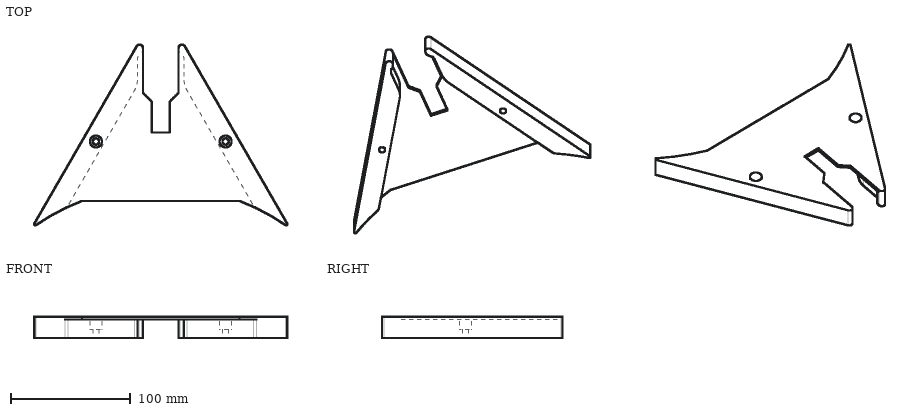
import cadquery as cq
import math

span = 211.5
depth = 151.0
height = 18.0
plate_thickness = 2.5
leg_height = height - plate_thickness

edge_angle = math.radians(60)
swept_tip_radius = 1.0
rear_arc_radius = 184.0
rear_edge_y = 20.3

slot_half_width = 14.8
slot_neck_half_width = 7.5
slot_chamfer_top_y = 110.7
slot_chamfer_bottom_y = slot_chamfer_top_y - (slot_half_width - slot_neck_half_width)
slot_floor_y = 77.7

leg_width = 17.0
leg_step = 4.7
leg_step_y = 145.4
leg_step_radius = 4.2
leg_bend_radius = 19.0
leg_rear_radius = 6.3

hole_x = 54.2
hole_y = 70.0
hole_diameter = 5.0
counterbore_diameter = 10.0
counterbore_depth = 10.5

normal_x = math.sin(edge_angle)
normal_y = math.cos(edge_angle)
swept_x = span / 2 - swept_tip_radius
swept_y = swept_tip_radius
edge_offset = normal_x * swept_x + normal_y * swept_y + swept_tip_radius

prong_radius = (edge_offset - normal_x * slot_half_width - normal_y * depth) / (1 - normal_y + normal_x)
prong_x = slot_half_width + prong_radius
prong_y = depth - prong_radius

rear_center_y = swept_y - math.sqrt((rear_arc_radius + swept_tip_radius) ** 2 - swept_x ** 2)
tip_share = rear_arc_radius / (rear_arc_radius + swept_tip_radius)


def rear_arc_y(x):
    return rear_center_y + math.sqrt(rear_arc_radius ** 2 - x ** 2)


rear_corner_x = math.sqrt(rear_arc_radius ** 2 - (rear_edge_y - rear_center_y) ** 2)
rear_tangent_x = swept_x * tip_share
rear_tangent = (rear_tangent_x, rear_arc_y(rear_tangent_x))
rear_middle_x = (rear_corner_x + rear_tangent_x) / 2
swept_lower_right = (
    swept_x + swept_tip_radius * math.sin(math.pi / 4),
    swept_y - swept_tip_radius * math.cos(math.pi / 4),
)


def edge_tangent(center_x, center_y, radius):
    return (center_x + radius * normal_x, center_y + radius * normal_y)


def half_outline(thickness):
    """Right half of the arrowhead, extruded up from Z = 0."""
    return (
        cq.Workplane("XY")
        .moveTo(0, rear_edge_y)
        .lineTo(rear_corner_x, rear_edge_y)
        .threePointArc((rear_middle_x, rear_arc_y(rear_middle_x)), rear_tangent)
        .threePointArc(swept_lower_right, edge_tangent(swept_x, swept_y, swept_tip_radius))
        .lineTo(*edge_tangent(prong_x, prong_y, prong_radius))
        .threePointArc((prong_x, depth), (slot_half_width, prong_y))
        .lineTo(slot_half_width, slot_chamfer_top_y)
        .lineTo(slot_neck_half_width, slot_chamfer_bottom_y)
        .lineTo(slot_neck_half_width, slot_floor_y)
        .lineTo(0, slot_floor_y)
        .close()
        .extrude(thickness)
    )


def inner_face_x(y):
    """X of the leg's inner face, parallel to the outer edge."""
    return (edge_offset - leg_width - normal_y * y) / normal_x


leg_wall_x = slot_half_width + leg_step
leg_bend_y = (edge_offset - leg_width - normal_x * leg_wall_x) / normal_y


def fillet_upright(body, x, y, radius):
    """Round the vertical edge nearest to (x, y)."""
    nearest = cq.selectors.NearestToPointSelector((x, y, leg_height / 2))
    return body.edges("|Z").edges(nearest).fillet(radius)


def open_space():
    """Space between the symmetry plane and the right leg."""
    step_corners = [
        (slot_half_width, leg_step_y),
        (leg_wall_x, leg_step_y - leg_step),
    ]
    bend = (leg_wall_x, leg_bend_y)
    space = (
        cq.Workplane("XY")
        .polyline(
            [(0, 0), (inner_face_x(0), 0), bend]
            + step_corners[::-1]
            + [(slot_half_width, depth), (0, depth)]
        )
        .close()
        .extrude(leg_height)
    )
    for x, y in step_corners:
        space = fillet_upright(space, x, y, leg_step_radius)
    return fillet_upright(space, *bend, leg_bend_radius)


def right_leg():
    leg = half_outline(leg_height).cut(open_space())
    near_corner_x = inner_face_x(rear_edge_y)
    return fillet_upright(leg, near_corner_x, rear_arc_y(near_corner_x), leg_rear_radius)


plate_half = half_outline(plate_thickness).translate((0, 0, leg_height))
right_half = plate_half.union(right_leg())
right_half = (
    right_half.faces(">Z")
    .workplane(origin=(hole_x, hole_y, height))
    .cboreHole(hole_diameter, counterbore_diameter, counterbore_depth)
)
result = right_half.union(right_half.mirror("YZ"))